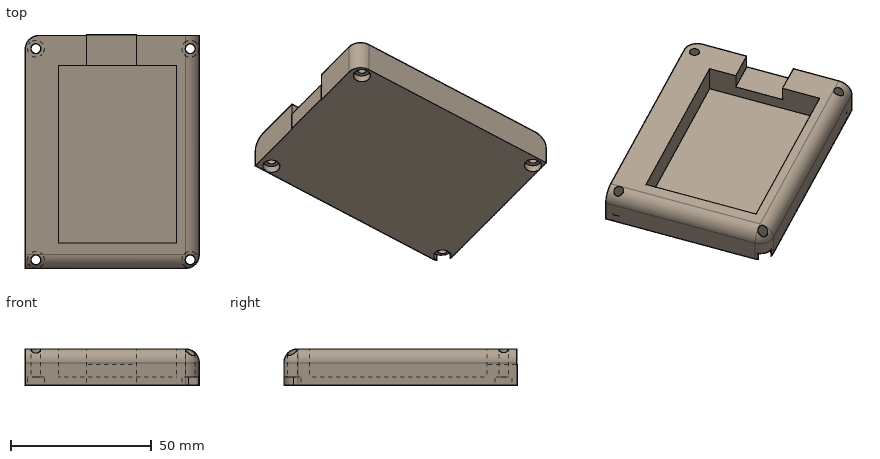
import cadquery as cq

width = 62.0
total_length = 83.2
height = 13.0
lip_overhang = 0.25
body_length = total_length - lip_overhang
edge_radius = 5.0

pocket_left = 11.9
pocket_front = 9.15
pocket_width = 41.9
pocket_length = 63.05
pocket_floor = 3.0
pocket_back = pocket_front + pocket_length

notch_left = 21.9
notch_width = 17.8
notch_floor = 7.4

hole_diameter = 3.4
counterbore_diameter = 6.0
counterbore_depth = 3.0
hole_left = 3.8
hole_right = width - 3.25
hole_front = 3.1
hole_back = body_length - 4.75


def block(x, y, z, size_x, size_y, size_z):
    """Box placed by its left, front, bottom corner."""
    return cq.Workplane("XY").box(size_x, size_y, size_z, centered=False).translate((x, y, z))


def rounded_body():
    """Body with two opposite upright corners rounded, and the front and right top edges."""
    body = block(0, 0, 0, width, body_length, height)
    body = body.edges("|Z and <X and >Y").fillet(edge_radius)
    front_right_upright = body.edges("|Z").edges(cq.selectors.NearestToPointSelector((width, 0, height / 2)))
    top_edges = body.edges(">Z and <Y").add(body.edges(">Z and >X"))
    return top_edges.add(front_right_upright).fillet(edge_radius)


def screw_hole(x, y):
    """Through hole with its counterbore, as a solid to cut away."""
    shaft = cq.Workplane("XY").center(x, y).circle(hole_diameter / 2).extrude(height)
    counterbore = cq.Workplane("XY").center(x, y).circle(counterbore_diameter / 2).extrude(counterbore_depth)
    return shaft.union(counterbore)


lip = block(notch_left, pocket_back, 0, notch_width, total_length - pocket_back, notch_floor)
pocket = block(pocket_left, pocket_front, pocket_floor, pocket_width, pocket_length, height - pocket_floor)
notch = block(
    notch_left, pocket_back, notch_floor, notch_width, total_length - pocket_back, height - notch_floor
)

result = rounded_body().union(lip).cut(pocket).cut(notch)
for hole_x in (hole_left, hole_right):
    for hole_y in (hole_front, hole_back):
        result = result.cut(screw_hole(hole_x, hole_y))